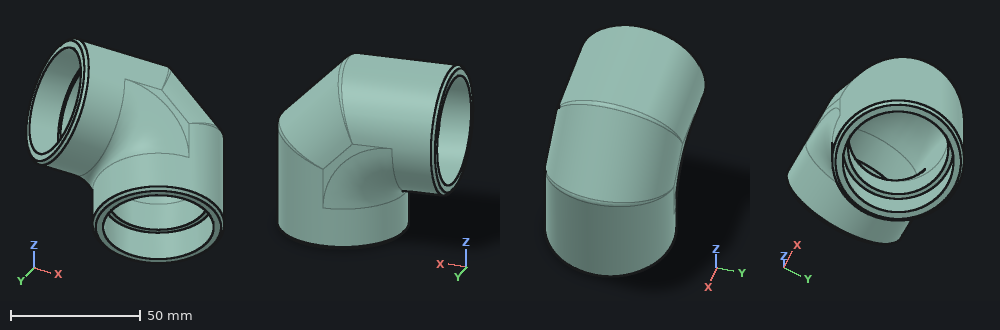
import cadquery as cq
import math

overall_length = 70.5
outer_diameter = 51.0
socket_diameter = 42.7
bore_diameter = 38.7
socket_depth = 12.5
crook_radius = 2.55
mitre_start = 33.05
mitre_rounding = 2.55
mouth_chamfer = 1.3
bore_bend_radius = 20.45

outer_radius = outer_diameter / 2
bore_radius = bore_diameter / 2
leg_length = overall_length - outer_radius
outer_bend_radius = outer_radius + crook_radius



def half_section(side):
    """Half disc at the horizontal mouth, above (side = 1) or below (side = -1) the axis."""
    return (
        cq.Workplane("YZ", origin=(0, 0, leg_length))
        .moveTo(-outer_radius, 0)
        .threePointArc((0, side * outer_radius), (outer_radius, 0))
        .close()
    )


def bend_places(bend_radius):
    """Distance from a mouth to the bend, and the equal X and Z of the middle of the bend."""
    bend_start = leg_length - bend_radius
    mid_bend = bend_start + bend_radius * math.cos(math.radians(45))
    return bend_start, mid_bend


def rounded_axis(bend_radius):
    """Centreline from mouth to mouth with a circular bend."""
    bend_start, mid_bend = bend_places(bend_radius)
    return (
        cq.Workplane("XZ")
        .moveTo(0, leg_length)
        .lineTo(bend_start, leg_length)
        .threePointArc((mid_bend, mid_bend), (leg_length, bend_start))
        .lineTo(leg_length, 0)
    )


def mitred_back():
    """Outer half of the elbow: three half pipes joined by two rounded mitres."""
    mitred_axis = (
        cq.Workplane("XZ")
        .moveTo(0, leg_length)
        .lineTo(mitre_start, leg_length)
        .lineTo(leg_length, mitre_start)
        .lineTo(leg_length, 0)
    )
    back = half_section(1).sweep(mitred_axis, transition="right")
    return back.edges("%ELLIPSE").fillet(mitre_rounding)


def bent_crook():
    """Inner half of the elbow, following the circular bend."""
    return half_section(-1).sweep(rounded_axis(outer_bend_radius))


def flat_web():
    """Full-width filler between the bent and the mitred centrelines."""
    bend_start, mid_bend = bend_places(outer_bend_radius)
    return (
        cq.Workplane("XZ")
        .moveTo(bend_start, leg_length)
        .lineTo(mitre_start, leg_length)
        .lineTo(leg_length, mitre_start)
        .lineTo(leg_length, bend_start)
        .threePointArc((mid_bend, mid_bend), (bend_start, leg_length))
        .close()
        .extrude(outer_radius, both=True)
    )


def bore():
    """Passage running from mouth to mouth."""
    mouth = cq.Workplane("YZ", origin=(0, 0, leg_length)).circle(bore_radius)
    return mouth.sweep(rounded_axis(bore_bend_radius))


def sockets():
    """Wider recess at each mouth, ending in a pipe stop."""
    socket_radius = socket_diameter / 2
    horizontal = cq.Workplane("YZ", origin=(0, 0, leg_length)).circle(socket_radius).extrude(socket_depth)
    vertical = cq.Workplane("XY", origin=(leg_length, 0, 0)).circle(socket_radius).extrude(socket_depth)
    return horizontal.union(vertical)


body = mitred_back().union(flat_web()).union(bent_crook())
for mouth_face in ("<X", "<Z"):
    body = body.faces(mouth_face).edges("%CIRCLE").chamfer(mouth_chamfer)

result = body.cut(bore()).cut(sockets())